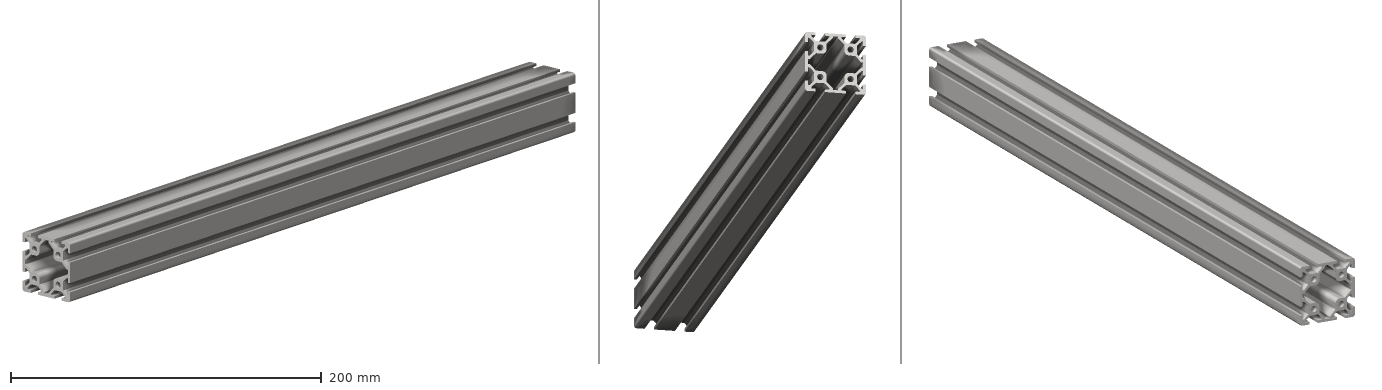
import cadquery as cq
side = 40.0
length = 500.0
corner_radius = 1.5
half_side = side / 2

bore_diameter = 4.2
bore_offset = side / 4

slot_mouth_half = 3.1
slot_inner_half = 6.0
lip_thickness = 1.8

core_half = 4.1
core_radius = 3.0
web_half = 1.2

face_wall = 1.8
channel_half = 1.7


def bar(outline):
    """Prism of the full length on a closed outline in the XZ plane."""
    return cq.Workplane("XZ").polyline(outline).close().extrude(length / 2, both=True)


def slot_outline(center):
    """Closed T-slot outline in the top face, centred on x = center."""
    floor_z = bore_offset + core_half
    shoulder_z = bore_offset + slot_inner_half + web_half
    lip_z = half_side - lip_thickness
    right = [
        (core_half - web_half, floor_z),
        (slot_inner_half, shoulder_z),
        (slot_inner_half, lip_z),
        (slot_mouth_half, lip_z),
        (slot_mouth_half, half_side),
    ]
    left = [(-x, z) for x, z in reversed(right)]
    return [(center + x, z) for x, z in right + left]


def cavity_outline():
    """Closed outline of the star-shaped central cavity, with sharp core corners."""
    core_x = bore_offset - core_half
    arm_edge = [
        (channel_half, half_side - face_wall),
        (channel_half, half_side - channel_half - web_half),
        (core_x, half_side - core_x - web_half),
    ]
    quarter = arm_edge + [(core_x, core_x)] + [(z, x) for x, z in reversed(arm_edge)]
    outline = []
    for _ in range(4):
        outline += quarter
        quarter = [(z, -x) for x, z in quarter]
    return outline


def central_cavity():
    """Cavity solid with its four core corners rounded."""
    core_corners = cq.selectors.BoxSelector(
        (-bore_offset, -length, -bore_offset),
        (bore_offset, length, bore_offset),
    )
    return bar(cavity_outline()).edges("|Y").edges(core_corners).fillet(core_radius)


def screw_bores():
    """The four through bores."""
    return (
        cq.Workplane("XZ")
        .rect(2 * bore_offset, 2 * bore_offset, forConstruction=True)
        .vertices()
        .circle(bore_diameter / 2)
        .extrude(length / 2, both=True)
    )


result = cq.Workplane("XY").box(side, length, side).edges("|Y").fillet(corner_radius)

for center in (-bore_offset, bore_offset):
    slot = bar(slot_outline(center))
    for quarter_turn in range(4):
        result = result.cut(slot.rotate((0, 0, 0), (0, 1, 0), 90 * quarter_turn))

result = result.cut(central_cavity())
result = result.cut(screw_bores())